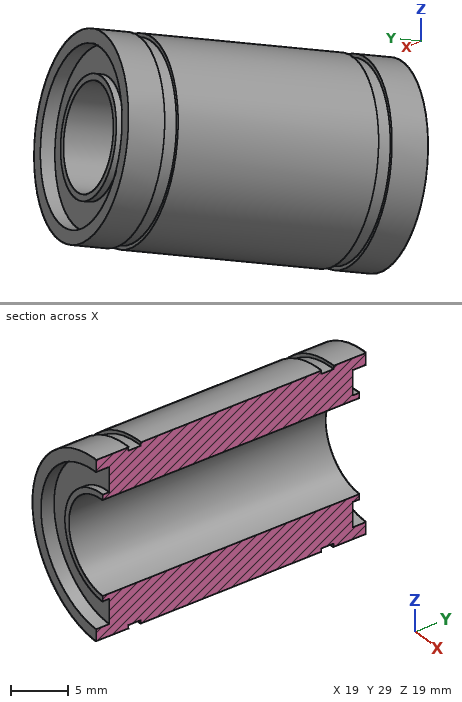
import cadquery as cq

LENGTH = 29.0
OUTER_DIAMETER = 19.0
BORE_DIAMETER = 10.0

GROOVE_DIAMETER = 18.3
GROOVE_WIDTH = 1.3
GROOVE_END_DISTANCE = 3.5

RECESS_DIAMETER = 16.4
RECESS_DEPTH = 1.4
SLEEVE_DIAMETER = 11.2
SLEEVE_HEIGHT = 0.7


def ring(outer_diameter, inner_diameter, start_y, width):
    """Ring around the Y axis, reaching from start_y to start_y + width."""
    return (
        cq.Workplane("XZ", origin=(0, start_y, 0))
        .circle(outer_diameter / 2)
        .circle(inner_diameter / 2)
        .extrude(-width)
    )


def add_end_details(body):
    """Cut the groove and the face recess at both ends, then add the sleeve ends."""
    end_y = -LENGTH / 2
    floor_y = end_y + RECESS_DEPTH
    groove = ring(OUTER_DIAMETER, GROOVE_DIAMETER, end_y + GROOVE_END_DISTANCE, GROOVE_WIDTH)
    recess = ring(RECESS_DIAMETER, BORE_DIAMETER, end_y, RECESS_DEPTH)
    sleeve = ring(SLEEVE_DIAMETER, BORE_DIAMETER, floor_y - SLEEVE_HEIGHT, SLEEVE_HEIGHT)
    for cutter in (groove, recess):
        body = body.cut(cutter).cut(cutter.mirror("XZ"))
    return body.union(sleeve).union(sleeve.mirror("XZ"))


body = ring(OUTER_DIAMETER, BORE_DIAMETER, -LENGTH / 2, LENGTH)
result = add_end_details(body)